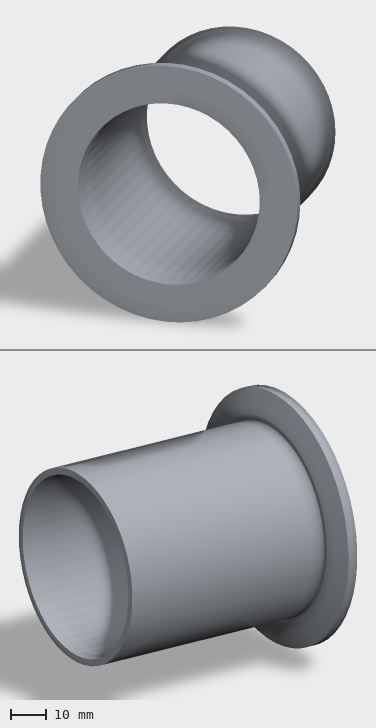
import cadquery as cq

flange_diameter = 75.0
tube_diameter = 57.0
bore_diameter = 53.0
total_length = 70.0
rim_thickness = 3.0
flange_thickness = 5.0
shoulder_diameter = 59.7

flange_radius = flange_diameter / 2
tube_radius = tube_diameter / 2
bore_radius = bore_diameter / 2
shoulder_radius = shoulder_diameter / 2

wall_section = [
    (bore_radius, 0),
    (flange_radius, 0),
    (flange_radius, rim_thickness),
    (shoulder_radius, flange_thickness),
    (tube_radius, flange_thickness),
    (tube_radius, total_length),
    (bore_radius, total_length),
]

flanged_tube = cq.Workplane("XY").polyline(wall_section).close().revolve(360, (0, 0, 0), (0, 1, 0))
result = flanged_tube.translate((0, -total_length / 2, 0))